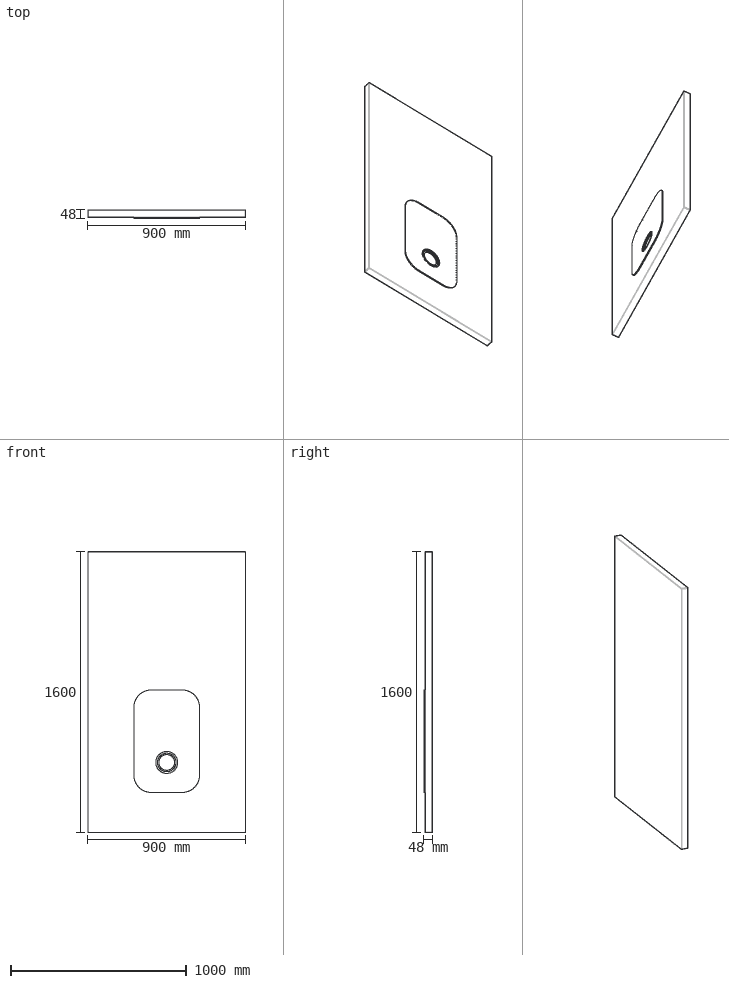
import cadquery as cq

PANEL_WIDTH = 900.0
PANEL_HEIGHT = 1600.0
TOTAL_DEPTH = 48.0
PLATE_THICKNESS = 6.0
PANEL_THICKNESS = TOTAL_DEPTH - PLATE_THICKNESS
PANEL_CORNER_RADIUS = 5.0
PANEL_EDGE_RADIUS = 2.4

PLATE_WIDTH = 375.0
PLATE_HEIGHT = 584.0
PLATE_CORNER_RADIUS = 100.0
PLATE_BOTTOM_Z = 229.0
PLATE_CENTER_Z = PLATE_BOTTOM_Z + PLATE_HEIGHT / 2

CAP_CENTER_Z = 400.0
CAP_BASE_RADIUS = 62.0
CAP_RIM_RADIUS = 53.0
DISH_RADIUS = 45.0
DISH_DEPTH = 3.0
CAP_HEIGHT = 8.0

POCKET_DEPTH = CAP_HEIGHT

PANEL_FRONT_Y = 0.0
POCKET_FLOOR_Y = PANEL_FRONT_Y + POCKET_DEPTH


def sketch_on_panel_front(center_z):
    """Sketch plane on the panel's front face; positive extrusion goes forward, toward -Y."""
    return cq.Workplane("XZ", origin=(0, PANEL_FRONT_Y, center_z))


def make_panel():
    """Slab with rounded corners and softened edges, pocketed for the cap."""
    slab = (
        sketch_on_panel_front(PANEL_HEIGHT / 2)
        .rect(PANEL_WIDTH, PANEL_HEIGHT)
        .extrude(-PANEL_THICKNESS)
        .edges("|Y")
        .fillet(PANEL_CORNER_RADIUS)
        .faces("<Y or >Y")
        .edges()
        .fillet(PANEL_EDGE_RADIUS)
    )
    pocket = sketch_on_panel_front(CAP_CENTER_Z).circle(CAP_BASE_RADIUS).extrude(-POCKET_DEPTH)
    return slab.cut(pocket)


def make_plate():
    """Thin plate with large corner radii and a round opening over the cap."""
    blank = (
        sketch_on_panel_front(PLATE_CENTER_Z)
        .rect(PLATE_WIDTH, PLATE_HEIGHT)
        .extrude(PLATE_THICKNESS)
        .edges("|Y")
        .fillet(PLATE_CORNER_RADIUS)
    )
    opening = sketch_on_panel_front(CAP_CENTER_Z).circle(CAP_BASE_RADIUS).extrude(PLATE_THICKNESS)
    return blank.cut(opening)


def make_cap():
    """Frustum standing on the pocket floor, with a round dish sunk in its front."""
    rim_y = POCKET_FLOOR_Y - CAP_HEIGHT
    dish_y = rim_y + DISH_DEPTH
    half_profile = [
        (0, POCKET_FLOOR_Y),
        (CAP_BASE_RADIUS, POCKET_FLOOR_Y),
        (CAP_RIM_RADIUS, rim_y),
        (DISH_RADIUS, rim_y),
        (DISH_RADIUS, dish_y),
        (0, dish_y),
    ]
    return (
        cq.Workplane("XY", origin=(0, 0, CAP_CENTER_Z))
        .polyline(half_profile)
        .close()
        .revolve(360, (0, 0, 0), (0, 1, 0))
    )


panel = make_panel()
plate = make_plate()
cap = make_cap()

result = cq.Compound.makeCompound([panel.val(), plate.val(), cap.val()])